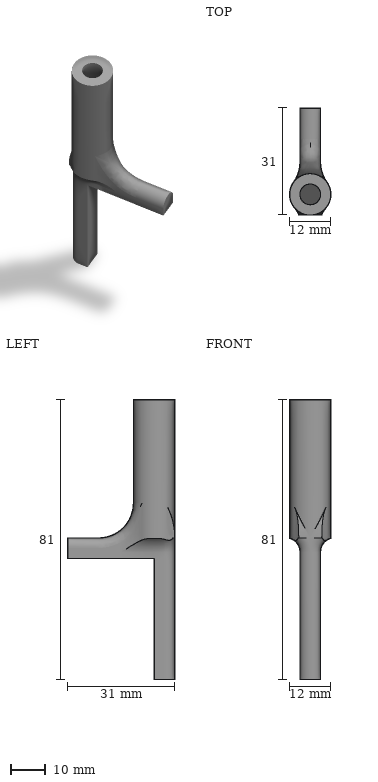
import cadquery as cq
import math

tube_radius = 6.0
tube_length = 40.0
bore_radius = 3.0

bar_width = 6.0
half_width = bar_width / 2
arm_reach = 25.0
leg_length = 35.0

arm_blend_radius = 10.0
front_blend_radius = 6.0
front_taper_radius = 20.0
cove_radius = 4.0
bar_round_radius = half_width

arm_bottom = leg_length
arm_top = arm_bottom + bar_width
tube_top = arm_top + tube_length
cove_bottom = arm_top - cove_radius
blend_top = arm_top + arm_blend_radius
front_y = -tube_radius
beyond = 2 * arm_reach

left = -1
right = 1
edge_tolerance = 0.001


def upright_prism(outline, bottom, top):
    """Extrude a closed plan outline between two levels."""
    return outline.extrude(top - bottom).translate((0, 0, bottom))


def flare_centre(blend_radius):
    """Plan centre of an arc tangent to both the bar side and the tube."""
    centre_x = half_width + blend_radius
    centre_y = math.sqrt((tube_radius + blend_radius) ** 2 - centre_x**2)
    return centre_x, centre_y


def touch_point(blend_radius):
    """Plan point where the flare arc touches the tube."""
    centre_x, centre_y = flare_centre(blend_radius)
    ratio = tube_radius / (tube_radius + blend_radius)
    return centre_x * ratio, centre_y * ratio


def flared_bar(blend_radius, direction, reach, bottom, top):
    """Bar from the tube axis toward +Y or -Y, its sides blended into the tube by arcs."""
    centre_x, centre_y = flare_centre(blend_radius)
    touch_x, touch_y = touch_point(blend_radius)
    wedge = (
        cq.Workplane("XY")
        .polyline([
            (0, 0),
            (touch_x, direction * touch_y),
            (centre_x, direction * centre_y),
            (-centre_x, direction * centre_y),
            (-touch_x, direction * touch_y),
        ])
        .close()
    )
    hollows = (
        cq.Workplane("XY")
        .pushPoints([(side * centre_x, direction * centre_y) for side in (left, right)])
        .circle(blend_radius)
    )
    strip = cq.Workplane("XY").center(0, direction * reach / 2).rect(bar_width, reach)
    end_trim = cq.Workplane("XY").center(0, direction * reach / 2).rect(beyond, reach)
    flare = upright_prism(wedge, bottom, top).cut(upright_prism(hollows, bottom, top))
    flare = flare.intersect(upright_prism(end_trim, bottom, top))
    return upright_prism(strip, bottom, top).union(flare)


def tube_slice(y_end, bottom, top):
    """Solid part of the tube between its axis and a plane of constant Y."""
    disc = cq.Workplane("XY").circle(tube_radius)
    trim = cq.Workplane("XY").center(0, y_end / 2).rect(beyond, abs(y_end))
    return upright_prism(disc, bottom, top).intersect(upright_prism(trim, bottom, top))


def cove(side):
    """Waste below the concave underside that narrows the tube to the bar width."""
    centre_x = side * (half_width + cove_radius)
    diagonal = cove_radius * math.sqrt(0.5)
    return (
        cq.Workplane("XZ")
        .moveTo(side * half_width, 0)
        .lineTo(side * half_width, cove_bottom)
        .threePointArc((centre_x - side * diagonal, cove_bottom + diagonal), (centre_x, arm_top))
        .lineTo(side * beyond, arm_top)
        .lineTo(side * beyond, 0)
        .close()
        .extrude(beyond, both=True)
    )


def cut_coves(body):
    return body.cut(cove(left)).cut(cove(right))


def edge_at(body, point):
    """The edge of the body that passes through a point."""
    vertex = cq.Vertex.makeVertex(*point)
    return next(edge for edge in body.edges().vals() if edge.distance(vertex) < edge_tolerance)


def round_both_edges(body, point):
    """Round the edge chain through a point and its mirror image into one full round.

    The two rounds touch along X = 0, so one half is rounded and then mirrored."""
    rounded = body.newObject([edge_at(body, point)]).fillet(bar_round_radius)
    right_side = cq.Workplane("XY").center(beyond / 2, 0).rect(beyond, 2 * beyond)
    half = rounded.intersect(upright_prism(right_side, 0, tube_top))
    return half.union(half.mirror("YZ"))


def arm():
    """Arm with a flared root and a ring-shaped blend that climbs the tube."""
    bar = flared_bar(arm_blend_radius, 1, arm_reach, arm_bottom, blend_top)
    ring_radius = tube_radius + arm_blend_radius
    diagonal = arm_blend_radius * math.sqrt(0.5)
    space_above = (
        cq.Workplane("XZ")
        .moveTo(tube_radius, blend_top)
        .threePointArc((ring_radius - diagonal, blend_top - diagonal), (ring_radius, arm_top))
        .lineTo(beyond, arm_top)
        .lineTo(beyond, blend_top)
        .close()
        .revolve(360, (0, 0, 0), (0, 1, 0))
    )
    body = bar.cut(space_above)
    body = cut_coves(body.union(tube_slice(tube_radius, arm_bottom, tube_top)))
    return round_both_edges(body, (half_width, (arm_reach + ring_radius) / 2, arm_top))


def leg():
    """Leg with a rounded front that widens under the tube."""
    bar = flared_bar(front_blend_radius, -1, tube_radius, 0, blend_top)
    touch_y = touch_point(front_blend_radius)[1]
    body = cut_coves(bar.union(tube_slice(-touch_y, arm_bottom, blend_top)))
    body = round_both_edges(body, (half_width, front_y, leg_length / 2))
    below_tube = cq.Workplane("XY").rect(beyond, beyond)
    return body.intersect(upright_prism(below_tube, 0, arm_top))


def front_taper():
    """Pointed webs on the front of the tube that lean back until they vanish."""
    bar = flared_bar(front_blend_radius, -1, tube_radius, arm_top, blend_top)
    taper = (
        cq.Workplane("YZ")
        .center(front_y + front_taper_radius, arm_top)
        .circle(front_taper_radius)
        .extrude(beyond, both=True)
    )
    return bar.intersect(taper)


def tube():
    return cq.Workplane("XY", origin=(0, 0, arm_top)).circle(tube_radius).extrude(tube_length)


def bore():
    return cq.Workplane("XY", origin=(0, 0, arm_top)).circle(bore_radius).extrude(tube_length)


result = arm().union(leg()).union(front_taper()).union(tube()).cut(bore())